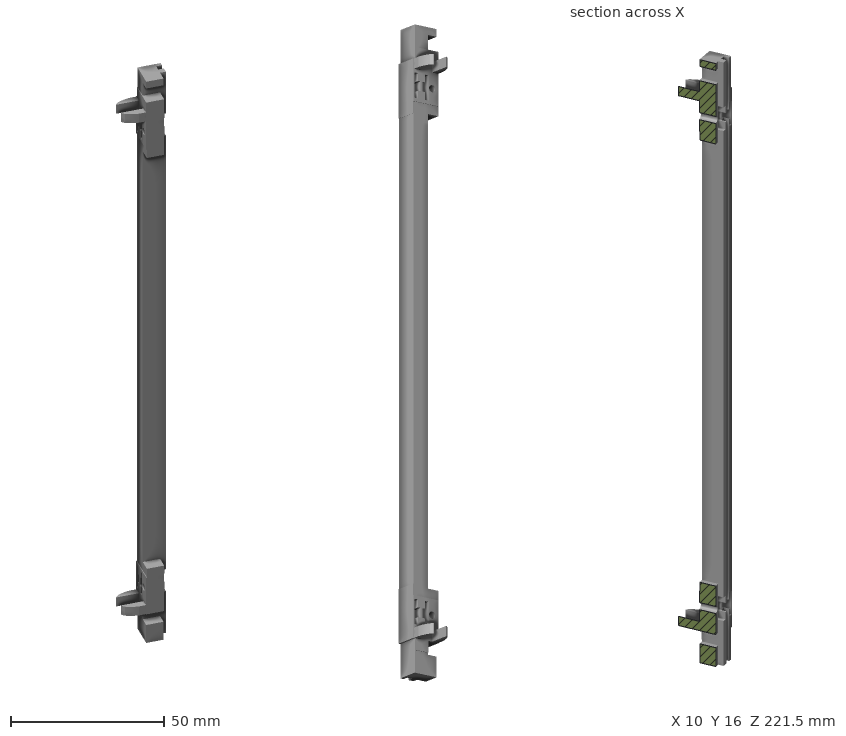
import cadquery as cq

length = 221.5
half_length = length / 2
half_width = 5.0
end_half_width = 4.5
bar_right = 0.9
depth = 8.0
side_step = 0.1
pad_height = 0.2
rib_depth = 2.0
block_back = depth - rib_depth

groove_left = -3.0
groove_right = -1.0

side_step_z = 80.5
pad_inner = 84.5
block_foot = 81.0
clip_inner = 95.5
clip_outer = 99.0
block_end = 103.0
top_hook_start = 108.0
bottom_hook_start = 103.7

window_z = 90.0
window_left = -4.7
window_right = bar_right
window_height = 8.6
beam_half_width = 1.3
web_half_width = 0.33
waist_height = 3.3
hole_diameter = 2.5
hole_x = 2.5

prong_inset = 0.2
prong_outer = half_width - prong_inset
prong_length = 8.0
prong_straight = 2.7
prong_bulge = 4.9
prong_bulge_x = 4.5
prong_shoulder = 7.0
prong_shoulder_x = 3.5
prong_inner = 2.5
prong_tip = 0.2


def box(x_min, x_max, y_min, y_max, z_min, z_max):
    """Box between two opposite corners."""
    size = (x_max - x_min, y_max - y_min, z_max - z_min)
    return cq.Workplane("XY").box(*size, centered=False).translate((x_min, y_min, z_min))


def make_body():
    """Bar with its end hooks and mounting blocks, before the cutouts."""
    body = box(-end_half_width, bar_right, 0, depth, -half_length, half_length)
    bar_left = -half_width + side_step
    body = body.union(box(bar_left, bar_right, 0, depth, -clip_outer, clip_outer))
    wide_parts = [
        (half_width, block_foot, block_end),
        (end_half_width, top_hook_start, half_length),
        (half_width, -clip_outer, -block_foot),
        (end_half_width, -half_length, -bottom_hook_start),
    ]
    for x_max, z_min, z_max in wide_parts:
        body = body.union(box(-end_half_width, x_max, 0, block_back, z_min, z_max))
    side_ranges = [(side_step_z, clip_outer), (-clip_outer, -side_step_z)]
    for z_min, z_max in side_ranges:
        body = body.union(box(-half_width, bar_right, 0, depth, z_min, z_max))
    pads = [
        (-half_width, half_width, pad_inner, clip_outer),
        (-end_half_width, half_width, clip_outer, block_end),
        (-half_width, half_width, -clip_outer, -pad_inner),
        (-end_half_width, bar_right, -block_end, -clip_outer),
    ]
    for x_min, x_max, z_min, z_max in pads:
        body = body.union(box(x_min, x_max, -pad_height, 0, z_min, z_max))
    return body


def make_windows(z_center):
    """Two slots, leaving a narrow-waisted beam between them, and a round hole."""
    z_min = z_center - window_height / 2
    z_max = z_center + window_height / 2
    beam_x = (window_left + window_right) / 2
    windows = box(window_left, window_right, -pad_height, depth, z_min, z_max)
    windows = windows.cut(
        box(beam_x - beam_half_width, beam_x + beam_half_width, -pad_height, depth, z_min, z_max)
    )
    waist = box(
        window_left, window_right, -pad_height, depth,
        z_center - waist_height / 2, z_center + waist_height / 2,
    )
    web = box(beam_x - web_half_width, beam_x + web_half_width, -pad_height, depth, z_min, z_max)
    hole = (
        cq.Workplane("XZ", origin=(0, -pad_height, 0))
        .center(hole_x, z_center)
        .circle(hole_diameter / 2)
        .extrude(-depth)
    )
    return windows.union(waist.cut(web)).union(hole)


def make_prong(z_min, z_max):
    """Tapered clip prong on the +X side, pointing to -Y."""
    return (
        cq.Workplane("XY")
        .workplane(offset=z_min)
        .moveTo(prong_inner, 0)
        .lineTo(prong_outer, 0)
        .lineTo(prong_outer, -prong_straight)
        .threePointArc((prong_bulge_x, -prong_bulge), (prong_shoulder_x, -prong_shoulder))
        .lineTo(prong_inner + prong_tip, -prong_length)
        .lineTo(prong_inner, -prong_length)
        .close()
        .extrude(z_max - z_min)
    )


result = make_body()

result = result.cut(box(groove_left, groove_right, block_back, depth, -half_length, half_length))

for z_center in (window_z, -window_z):
    result = result.cut(make_windows(z_center))

for z_min, z_max in ((clip_inner, clip_outer), (-clip_outer, -clip_inner)):
    prong = make_prong(z_min, z_max)
    result = result.union(prong).union(prong.mirror("YZ"))